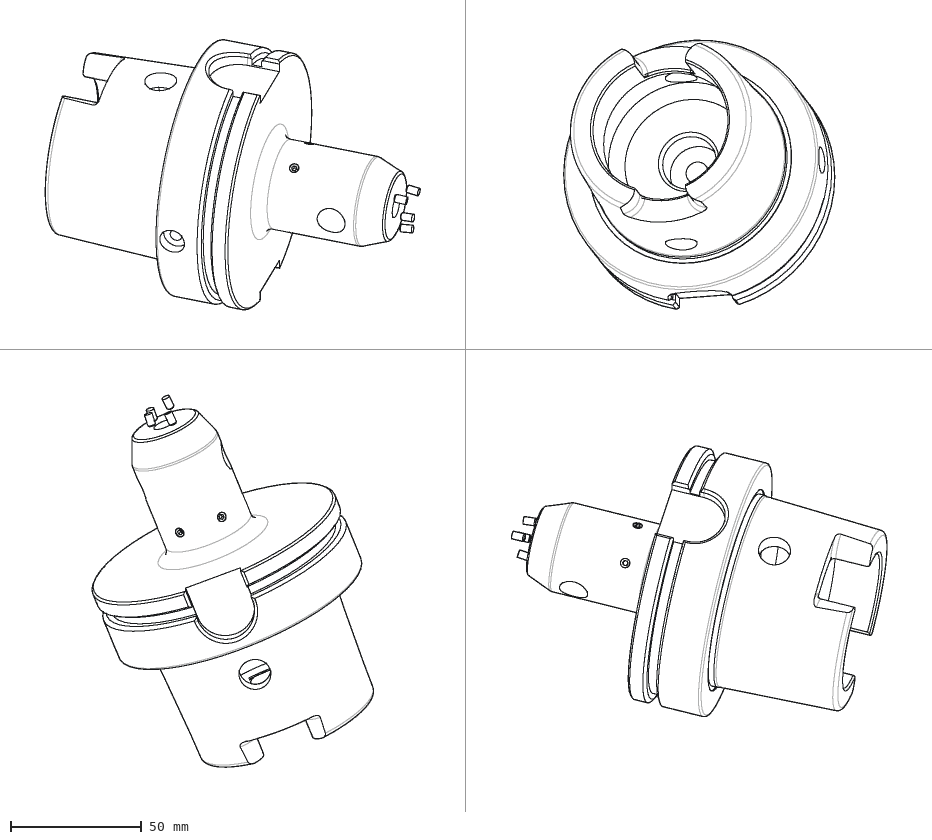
import cadquery as cq
import math


taper_length = 50.0
taper_face_radius = 35.5
taper_root_radius = 37.6
taper_face_round = 1.7
collar_length = 2.6
collar_radius = 37.9
collar_bevel = 0.8
face_recess_radius = 39.7
face_recess_depth = 0.4

flange_diameter = 100.0
flange_radius = flange_diameter / 2
flange_width = 29.0
flange_chamfer = 0.8
flange_round = 0.8
groove_left = 18.0
groove_right = 21.8
groove_radius = 46.0
groove_chamfer_width = 1.1
groove_chamfer_depth = 1.8

nose_radius = 17.5
nose_tip = 80.0
nose_cone_start = 69.4
nose_shoulder_round = 2.2
nose_cone_radius = 13.7
nose_cone_end = 79.3
nose_face_radius = 12.7
nose_root_fillet = 5.0

cavity_radius = 26.5
cavity_mouth_chamfer = 0.8
cavity_lip_end = 18.4
cavity_undercut_radius = 30.3
cavity_undercut_angle = 30
cavity_depth = 47.0
cavity_floor_radius = 25.0
coolant_bore_radius = 10.5
coolant_bore_chamfer = 1.4
coolant_bore_depth = 13.8
through_bore_radius = 4.3

drive_slot_half_width = 10.0
drive_slot_round = 7.0
drive_slot_shoulder = 31.9
drive_slot_depth_top = 15.0
drive_slot_depth_bottom = 10.0
drive_slot_end_fillet = 1.7

cross_hole_diameter = 12.2
cross_hole_x = -15.0

keyway_half_width = 11.2
keyway_start = 5.0
keyway_floor = 44.0
keyway_edge_chamfer = 1.2

chip_hole_x = 6.8
chip_hole_diameter = 10.0
chip_hole_depth = 4.5
pilot_diameter = 4.7

dimple_x = 59.8
dimple_radius = 5.7
dimple_center_radius = 18.4

spoke_angles = [60, 120, 240, 300]
plug_x = 41.9
plug_diameter = 3.6
plug_length = 4.0
plug_recess = 0.4
plug_socket_size = 1.8
plug_socket_depth = 1.7

pin_tip = 88.0
pin_stagger = 2.3
pin_length = 4.8
pin_diameter = 3.0
pin_chamfer = 0.4
pin_tilt = 6
pin_tip_radius = 7.2

clearance = 1.4

upside_down = ((0, 0, 0), (1, 0, 0), 180)


def turned(points):
    """Revolve an outline of (x, radius) points about the X axis."""
    return cq.Workplane("XY").polyline(points).close().revolve(360, (0, 0, 0), (1, 0, 0))


def fillet_ring(body, x, radius, fillet_radius):
    """Round the circular edge at one place along the X axis and with one radius."""
    gap = 0.01

    def is_ring(edge):
        return abs(edge.Center().x - x) < gap and abs(edge.radius() - radius) < gap

    return body.edges("%CIRCLE").filter(is_ring).fillet(fillet_radius)


def turned_envelope():
    """Outside of the housing, with no bores or cuts."""
    outline = [
        (-taper_length, 0),
        (-taper_length, taper_face_radius),
        (-collar_length, taper_root_radius),
        (-collar_length + collar_bevel, collar_radius),
        (face_recess_depth, collar_radius),
        (face_recess_depth, face_recess_radius),
        (0, face_recess_radius),
        (0, flange_radius),
        (flange_width - flange_chamfer, flange_radius),
        (flange_width, flange_radius - flange_chamfer),
        (flange_width, nose_radius),
        (nose_cone_start, nose_radius),
        (nose_cone_end, nose_cone_radius),
        (nose_tip, nose_face_radius),
        (nose_tip, 0),
    ]
    body = turned(outline)
    body = fillet_ring(body, -taper_length, taper_face_radius, taper_face_round)
    body = fillet_ring(body, 0, flange_radius, flange_round)
    body = fillet_ring(body, nose_cone_start, nose_radius, nose_shoulder_round)
    return fillet_ring(body, flange_width, nose_radius, nose_root_fillet)


def flange_groove():
    """Ring cut around the flange, with chamfered rims."""
    rim = flange_radius - groove_chamfer_depth
    return turned([
        (groove_left, groove_radius),
        (groove_left, rim),
        (groove_left - groove_chamfer_width, flange_radius),
        (groove_left - groove_chamfer_width, flange_radius + clearance),
        (groove_right + groove_chamfer_width, flange_radius + clearance),
        (groove_right + groove_chamfer_width, flange_radius),
        (groove_right, rim),
        (groove_right, groove_radius),
    ])


def axial_bores():
    """Cavity of the taper, coolant bore behind it and the bore through the nose."""
    floor = cavity_depth - taper_length
    lip = cavity_lip_end - taper_length
    undercut_rise = cavity_undercut_radius - cavity_radius
    undercut_ramp = undercut_rise / math.tan(math.radians(cavity_undercut_angle))
    bore_end = floor + coolant_bore_depth
    return turned([
        (-taper_length, 0),
        (-taper_length, cavity_radius + cavity_mouth_chamfer),
        (-taper_length + cavity_mouth_chamfer, cavity_radius),
        (lip, cavity_radius),
        (lip + undercut_ramp, cavity_undercut_radius),
        (floor - (cavity_undercut_radius - cavity_floor_radius), cavity_undercut_radius),
        (floor, cavity_floor_radius),
        (floor, coolant_bore_radius + coolant_bore_chamfer),
        (floor + coolant_bore_chamfer, coolant_bore_radius),
        (bore_end, coolant_bore_radius),
        (bore_end, through_bore_radius),
        (nose_tip, through_bore_radius),
        (nose_tip, 0),
    ])


def drive_slot(depth):
    """Cutter for the slot on the +Z side: straight walls that flare outward in a round."""
    half = drive_slot_half_width
    flare = half + drive_slot_round
    shoulder_start = drive_slot_shoulder - drive_slot_round
    on_arc = drive_slot_round * math.sqrt(0.5)
    top = taper_root_radius + clearance
    side = taper_root_radius
    return (
        cq.Workplane("YZ", origin=(-taper_length, 0, 0))
        .moveTo(-half, 0)
        .lineTo(-half, shoulder_start)
        .threePointArc((-flare + on_arc, shoulder_start + on_arc), (-flare, drive_slot_shoulder))
        .lineTo(-side, drive_slot_shoulder)
        .lineTo(-side, top)
        .lineTo(side, top)
        .lineTo(side, drive_slot_shoulder)
        .lineTo(flare, drive_slot_shoulder)
        .threePointArc((flare - on_arc, shoulder_start + on_arc), (half, shoulder_start))
        .lineTo(half, 0)
        .close()
        .extrude(depth)
        .faces(">X").edges().fillet(drive_slot_end_fillet)
    )


def drive_slot_rim(depth):
    """Cutter for the chamfer between the end of a drive slot at +Z and the cavity."""
    half = drive_slot_half_width
    slot_end = depth - taper_length
    cone = cq.Solid.makeCone(
        cavity_radius + cavity_mouth_chamfer, cavity_radius, cavity_mouth_chamfer,
        cq.Vector(slot_end, 0, 0), cq.Vector(1, 0, 0),
    )
    sector = cq.Workplane("XY", origin=(slot_end, 0, 0)).rect(2 * depth, 2 * half).extrude(flange_radius)
    return sector.intersect(cq.Workplane(cone))


def keyway():
    """Cutter for the round-ended keyway on the +Z side, open toward the nose."""
    half = keyway_half_width
    arc_x = keyway_start + half
    return (
        cq.Workplane("XY", origin=(0, 0, keyway_floor))
        .moveTo(flange_width + half, -half)
        .lineTo(arc_x, -half)
        .threePointArc((keyway_start, 0), (arc_x, half))
        .lineTo(flange_width + half, half)
        .close()
        .extrude(flange_radius)
    )


def cut_keyways(body):
    """Cut a keyway at +Z and one at -Z and chamfer their edges on the rim of the flange."""
    body = body.cut(keyway()).cut(keyway().rotate(*upside_down))
    near = (keyway_start - clearance, -keyway_half_width - clearance)
    far = (flange_width - clearance, keyway_half_width + clearance)
    lowest = (keyway_floor + flange_radius) / 2
    rims = (
        cq.selectors.BoxSelector((*near, lowest), (*far, flange_radius))
        + cq.selectors.BoxSelector((*near, -flange_radius), (*far, -lowest))
    )
    return body.edges(rims).chamfer(keyway_edge_chamfer)


def chip_hole():
    """Flat-bottomed hole on the -Y side of the flange with a conical pilot in its floor."""
    floor_y = -flange_radius + chip_hole_depth
    mouth = cq.Workplane("XZ", origin=(chip_hole_x, floor_y, 0)).circle(chip_hole_diameter / 2)
    hole = mouth.extrude(chip_hole_depth + clearance)
    pilot = cq.Solid.makeCone(
        pilot_diameter / 2, 0, pilot_diameter / 2, cq.Vector(chip_hole_x, floor_y, 0), cq.Vector(0, 1, 0)
    )
    return hole.union(cq.Workplane(pilot))


def plug_seat(angle):
    """Cutter for the radial hole that holds a plug screw just below the surface of the nose."""
    return (
        cq.Workplane("XY", origin=(plug_x, 0, nose_radius - plug_recess - plug_length))
        .circle(plug_diameter / 2)
        .extrude(plug_length + 2 * plug_recess)
        .rotate((0, 0, 0), (1, 0, 0), angle - 90)
    )


def plug_screw(angle):
    """Headless screw with a hexagon socket in its outer end."""
    return (
        cq.Workplane("XY", origin=(plug_x, 0, nose_radius - plug_recess - plug_length))
        .circle(plug_diameter / 2)
        .extrude(plug_length)
        .faces(">Z").workplane()
        .polygon(6, plug_socket_size / math.cos(math.pi / 6))
        .cutBlind(-plug_socket_depth)
        .rotate((0, 0, 0), (1, 0, 0), angle - 90)
        .val()
    )


def jet_pin(angle, setback):
    """Pin whose axis leans toward the tool axis, set back along its own axis."""
    return (
        cq.Workplane("YZ", origin=(pin_tip - setback - pin_length, 0, 0))
        .circle(pin_diameter / 2)
        .extrude(pin_length)
        .faces("<X").chamfer(pin_chamfer)
        .translate((0, 0, pin_tip_radius))
        .rotate((pin_tip, 0, pin_tip_radius), (pin_tip, 1, pin_tip_radius), pin_tilt)
        .rotate((0, 0, 0), (1, 0, 0), angle - 90)
        .val()
    )


def make_housing():
    """The holder itself, with every bore, slot and hole cut."""
    body = turned_envelope().cut(axial_bores())
    for cutter in (drive_slot, drive_slot_rim):
        body = body.cut(cutter(drive_slot_depth_top))
        body = body.cut(cutter(drive_slot_depth_bottom).rotate(*upside_down))
    body = cut_keyways(body)
    body = body.cut(flange_groove())
    cross_hole = cq.Workplane("XY", origin=(cross_hole_x, 0, 0)).circle(cross_hole_diameter / 2)
    body = body.cut(cross_hole.extrude(flange_radius, both=True))
    body = body.cut(chip_hole())
    for side in (-1, 1):
        dimple = cq.Workplane("XY").sphere(dimple_radius)
        body = body.cut(dimple.translate((dimple_x, side * dimple_center_radius, 0)))
    for angle in spoke_angles:
        body = body.cut(plug_seat(angle))
    return body.val()


housing = make_housing()
plug_screws = [plug_screw(angle) for angle in spoke_angles]
jet_pins = [jet_pin(angle, pin_stagger * (number % 2)) for number, angle in enumerate(spoke_angles)]

result = cq.Compound.makeCompound([housing, *plug_screws, *jet_pins])